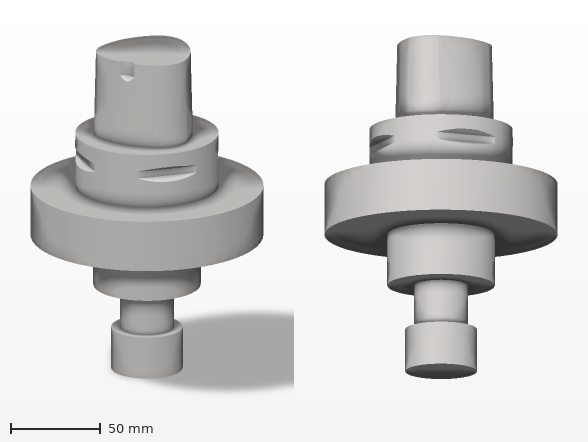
import cadquery as cq
import math


collar_diameter = 80.0
collar_length = 31.0
body_sections = [
    (collar_diameter, collar_length),
    (130.0, 29.0),
    (60.0, 29.0),
    (30.0, 25.0),
    (40.0, 24.0),
]

lobe_reach = 29.6
side_reach = 25.5
lobe_radius = 16.6
shank_length = 48.0
straight_length = 3.0
taper_ratio = 20.0
lobe_count = 3
lobe_pitch = 360.0 / lobe_count
first_lobe_angle = 90.0

notch_radius = 5.6
notch_axis_y = -27.5
notch_depth = 8.1
notch_point_angle = 90.0

groove_count = 4
groove_first_angle = 45.0
groove_center_z = -12.0
groove_depth = 4.0
groove_floor_height = 4.0
groove_flank_angle = 30.0


def polar(radius, degrees):
    angle = math.radians(degrees)
    return (radius * math.cos(angle), radius * math.sin(angle))


def make_body():
    """Stack of coaxial cylinders."""
    body = cq.Workplane("XY")
    top = 0.0
    for diameter, length in body_sections:
        section = cq.Workplane("XY", origin=(0, 0, top - length)).circle(diameter / 2).extrude(length)
        body = body.union(section)
        top -= length
    return body


def lobe_arc_end():
    """End point of a lobe arc: its angle from the lobe tip and its distance, both about the axis."""
    lobe_center = lobe_reach - lobe_radius
    half_pitch = math.radians(lobe_pitch / 2)
    along = lobe_center * math.cos(half_pitch)
    radius_gap = side_reach - lobe_radius
    side_center = (radius_gap**2 - lobe_center**2) / (2 * (along - radius_gap))
    side_radius = side_reach + side_center
    side_half_angle = math.atan2(lobe_center * math.sin(half_pitch), side_center + along)
    meet_along = side_radius * math.cos(side_half_angle) - side_center
    meet_across = side_radius * math.sin(side_half_angle)
    angle_from_side = math.degrees(math.atan2(meet_across, meet_along))
    return lobe_pitch / 2 - angle_from_side, math.hypot(meet_along, meet_across)


def shank_outline(z):
    half_angle, meet_reach = lobe_arc_end()
    outline = cq.Workplane("XY", origin=(0, 0, z)).moveTo(*polar(meet_reach, first_lobe_angle - half_angle))
    for index in range(lobe_count):
        tip = first_lobe_angle + index * lobe_pitch
        side_middle = tip + lobe_pitch / 2
        outline = outline.threePointArc(polar(lobe_reach, tip), polar(meet_reach, tip + half_angle))
        outline = outline.threePointArc(
            polar(side_reach, side_middle),
            polar(meet_reach, tip + lobe_pitch - half_angle),
        )
    return outline.close()


def make_shank():
    taper_angle = math.degrees(math.atan(1 / (2 * taper_ratio)))
    straight = shank_outline(0).extrude(straight_length)
    tapered = shank_outline(straight_length).extrude(shank_length - straight_length, taper=taper_angle)
    return straight.union(tapered)


def make_notch():
    """Drill shape with a conical point, standing parallel to the shank."""
    point_height = notch_radius / math.tan(math.radians(notch_point_angle / 2))
    shoulder_z = shank_length - notch_depth
    return (
        cq.Workplane("XZ", origin=(0, notch_axis_y, 0))
        .moveTo(0, shoulder_z - point_height)
        .lineTo(notch_radius, shoulder_z)
        .lineTo(notch_radius, shank_length)
        .lineTo(0, shank_length)
        .close()
        .revolve(360, (0, 0, 0), (0, 1, 0))
    )


def make_groove(angle):
    """Straight groove with a flat floor, cut across the collar at the given angle around Z."""
    collar_radius = collar_diameter / 2
    floor_half = groove_floor_height / 2
    mouth_half = floor_half + groove_depth * math.tan(math.radians(groove_flank_angle))
    profile = [
        (collar_radius - groove_depth, groove_center_z - floor_half),
        (collar_radius, groove_center_z - mouth_half),
        (collar_radius, groove_center_z + mouth_half),
        (collar_radius - groove_depth, groove_center_z + floor_half),
    ]
    groove = cq.Workplane("XZ").polyline(profile).close().extrude(collar_radius, both=True)
    return groove.rotate((0, 0, 0), (0, 0, 1), angle)


result = make_body().union(make_shank()).cut(make_notch())
for groove_index in range(groove_count):
    result = result.cut(make_groove(groove_first_angle + groove_index * 360.0 / groove_count))